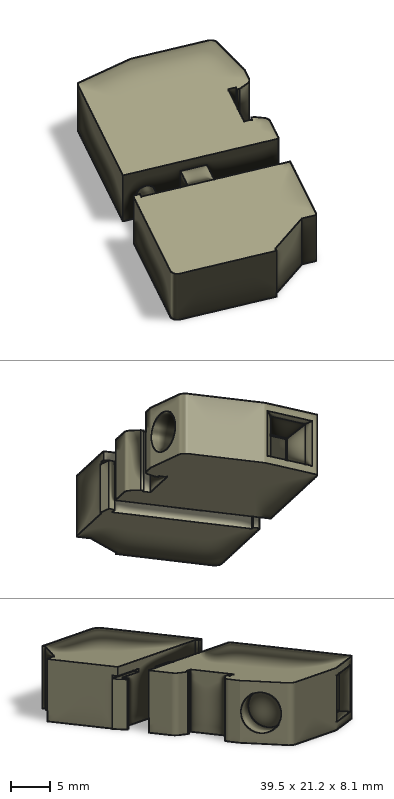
import cadquery as cq
import math

length = 39.5
body_height = 20.97
thickness = 8.1
half_thickness = thickness / 2

terminal_length = 20.03
entry_foot_x = 2.1
entry_top_y = 7.9
shoulder_y = 19.1
shoulder_x = 6.68
foot_radius = 0.4
entry_top_radius = 1.2
shoulder_radius = 1.0
corner_radius = 0.15

rail_center_x = 12.5
rail_width = 6.3
rail_floor_y = 17.8
rail_lip_y = 18.9
rail_lip_width = 0.4
rail_lip_height = 0.4
rail_mouth_width = 7.2
rail_mouth_radius = 0.95

cover_x = 24.5
cover_foot_width = 0.5
cover_foot_height = 0.95
cover_foot_radius = 0.28
cover_corner_radius = 0.95
cover_top_end_x = 34.9
cover_top_radius = 0.28
slope_top_y = 18.95
slope_end_x = 39.05
slope_end_y = 14.0

bar_bottom_y = 7.75
bar_height = 3.55
bar_thickness = 4.8
rod_center_y = 3.05
rod_diameter = 2.5
link_embed = 0.4

screw_center_x = 4.0
screw_hole_diameter = 5.3
screw_hole_depth = 3.95

mouth_height = 6.05
throat_height = 3.25
mouth_start = 0.35
mouth_end = 7.23
collar_start = 1.85
collar_depth = 1.5
throat_start = collar_start
throat_end = 6.15
cone_depth = 4.0
throat_depth = 0.4

latch_height = 6.5
latch_tip_x = 23.3
latch_tip_y = 20.65
latch_bottom_y = 19.8
latch_tilt = 15.0
latch_top_length = 1.95
latch_nose_radius = 0.2
slit_height = 0.4
slit_depth = 0.83
slit_length = 5.4


def extrude_outline(points, height):
    """Prism standing on the bottom face."""
    return cq.Workplane("XY", origin=(0, 0, -half_thickness)).polyline(points).close().extrude(height)


def round_corner(body, corner, radius):
    """Fillet the upright edge nearest to a corner of the outline."""
    return body.edges("|Z").edges(cq.NearestToPointSelector((*corner, 0))).fillet(radius)


def terminal_body():
    """Left half with the rail slot cut into its outline."""
    half_slot = rail_width / 2
    half_lips = half_slot - rail_lip_width
    half_mouth = rail_mouth_width / 2
    lip_top_y = rail_lip_y + rail_lip_height
    outline = [
        (entry_foot_x, 0),
        (terminal_length, 0),
        (terminal_length, body_height),
        (rail_center_x + half_mouth, body_height),
        (rail_center_x + half_lips, lip_top_y),
        (rail_center_x + half_lips, rail_lip_y),
        (rail_center_x + half_slot, rail_lip_y),
        (rail_center_x + half_slot, rail_floor_y),
        (rail_center_x - half_slot, rail_floor_y),
        (rail_center_x - half_slot, rail_lip_y),
        (rail_center_x - half_lips, rail_lip_y),
        (rail_center_x - half_lips, lip_top_y),
        (rail_center_x - half_mouth, body_height),
        (shoulder_x, body_height),
        (0, shoulder_y),
        (0, entry_top_y),
    ]
    body = extrude_outline(outline, thickness)
    body = round_corner(body, (entry_foot_x, 0), foot_radius)
    body = round_corner(body, (0, entry_top_y), entry_top_radius)
    body = round_corner(body, (0, shoulder_y), shoulder_radius)
    body = round_corner(body, (terminal_length, body_height), corner_radius)
    for side in (-1, 1):
        mouth_corner = (rail_center_x + side * half_mouth, body_height)
        body = round_corner(body, mouth_corner, rail_mouth_radius)
    return body


def cover_body():
    """Right half with its foot, sloped corner and rounded edges."""
    foot_x = cover_x - cover_foot_width
    outline = [
        (foot_x, 0),
        (length, 0),
        (length, slope_end_y),
        (slope_end_x, slope_end_y),
        (cover_top_end_x, slope_top_y),
        (cover_top_end_x, body_height),
        (cover_x, body_height),
        (cover_x, cover_foot_height),
        (foot_x, cover_foot_height),
    ]
    body = extrude_outline(outline, thickness)
    body = round_corner(body, (foot_x, 0), cover_foot_radius)
    body = round_corner(body, (length, 0), cover_corner_radius)
    return round_corner(body, (cover_top_end_x, body_height), cover_top_radius)


def links():
    """Rectangular bar and round rod that join the halves."""
    start_x = terminal_length - link_embed
    span = cover_x + link_embed - start_x
    bar = cq.Workplane("XY", origin=(start_x, bar_bottom_y, 0)).box(
        span, bar_height, bar_thickness, centered=(False, False, True)
    )
    rod = cq.Workplane("YZ", origin=(start_x, rod_center_y, 0)).circle(rod_diameter / 2).extrude(span)
    return bar.union(rod)


def screw_hole():
    """Blind hole centred on the screw slope."""
    slope_rise = body_height - shoulder_y
    slope_length = math.hypot(shoulder_x, slope_rise)
    outward = (-slope_rise / slope_length, shoulder_x / slope_length, 0)
    center = (screw_center_x, shoulder_y + slope_rise * screw_center_x / shoulder_x, 0)
    plane = cq.Plane(origin=center, xDir=(0, 0, 1), normal=outward)
    return cq.Workplane(plane).circle(screw_hole_diameter / 2).extrude(-screw_hole_depth)


def wire_funnel():
    """Collar, tapered cone and short square throat behind the slanted entry face."""
    inward = (entry_top_y, entry_foot_x, 0)
    down_face = (entry_foot_x, -entry_top_y, 0)
    face = cq.Workplane(cq.Plane(origin=(0, entry_top_y, 0), xDir=down_face, normal=inward))

    def section(depth, start, end, height):
        middle = (start + end) / 2
        return face.workplane(offset=depth).center(middle, 0).rect(end - start, height)

    def taper(near, far):
        wires = [section(*near).val(), section(*far).val()]
        return cq.Workplane(cq.Solid.makeLoft(wires, True))

    opening = (0, mouth_start, mouth_end, mouth_height)
    collar = (collar_depth, collar_start, mouth_end, mouth_height)
    throat = (cone_depth, throat_start, throat_end, throat_height)
    throat_hole = section(*throat).extrude(throat_depth)
    return taper(opening, collar).union(taper(collar, throat)).union(throat_hole)


def latch():
    """Tilted tooth that reaches out of the cover toward the terminal half."""
    tilt = math.radians(latch_tilt)
    nose_x = latch_tip_x + (latch_tip_y - latch_bottom_y) * math.tan(tilt)
    peak_x = latch_tip_x + latch_top_length * math.cos(tilt)
    peak_y = latch_tip_y + latch_top_length * math.sin(tilt)
    arm_x = cover_x + slit_depth
    outline = [
        (latch_tip_x, latch_tip_y),
        (nose_x, latch_bottom_y),
        (arm_x, latch_bottom_y),
        (arm_x, body_height),
        (peak_x, peak_y),
    ]
    tooth = extrude_outline(outline, latch_height)
    return round_corner(tooth, (nose_x, latch_bottom_y), latch_nose_radius)


def latch_slit():
    """Slit that parts the latch arm from the cover wall above it."""
    corner = (cover_x, body_height - slit_length, latch_height - half_thickness)
    return cq.Workplane("XY", origin=corner).box(slit_depth, slit_length, slit_height, centered=False)


terminal = terminal_body().cut(screw_hole()).cut(wire_funnel())
cover = cover_body().cut(latch_slit()).union(latch())
result = terminal.union(cover).union(links())